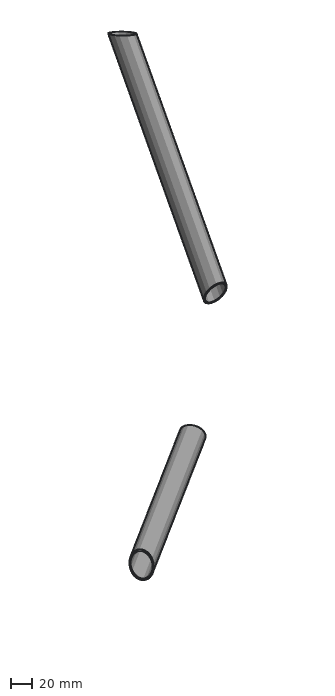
import cadquery as cq

outer_diameter = 25.0
wall = 1.5
inner_diameter = outer_diameter - 2 * wall

axis_run_x = 119.0
axis_run_y = 24.0
axis_drop = 227.5
axis = cq.Vector(axis_run_x, axis_run_y, -axis_drop)
end_allowance = 2 * outer_diameter

upper_slope_x = 0.2
upper_slope_y = -0.14
lower_slope_x = 1.75
lower_slope_y = 0.06


def long_rod(diameter):
    """Round rod along the tube axis, running past both end centres."""
    direction = axis.normalized()
    start = direction * -end_allowance
    length = axis.Length + 2 * end_allowance
    return cq.Workplane(cq.Plane(origin=start, normal=direction)).circle(diameter / 2).extrude(length)


def waste_block(centre, outward):
    """Block lying wholly outside the mitre plane through an end centre."""
    block_side = 6 * outer_diameter
    plane = cq.Plane(origin=centre, normal=outward)
    return cq.Workplane(plane).rect(block_side, block_side).extrude(block_side)


upper_outward = cq.Vector(-upper_slope_x, -upper_slope_y, 1)
lower_outward = cq.Vector(lower_slope_x, lower_slope_y, -1)

tube = long_rod(outer_diameter).cut(long_rod(inner_diameter))
tube = tube.cut(waste_block(cq.Vector(0, 0, 0), upper_outward))
result = tube.cut(waste_block(axis, lower_outward))